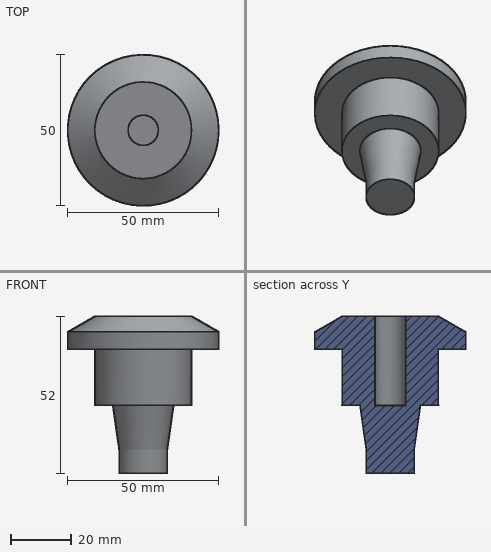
import cadquery as cq

total_height = 52.0

flange_diameter = 50.0
hub_diameter = 32.0
taper_top_diameter = 20.2
tip_diameter = 16.0
bore_diameter = 10.0

tip_height = 7.9
taper_height = 14.6
hub_height = 18.5
bevel_height = 5.2

hub_bottom = tip_height + taper_height
flange_bottom = hub_bottom + hub_height
bevel_bottom = total_height - bevel_height

bore_depth = total_height - hub_bottom

body = (
    cq.Workplane("XZ")
    .moveTo(0, 0)
    .lineTo(tip_diameter / 2, 0)
    .lineTo(tip_diameter / 2, tip_height)
    .lineTo(taper_top_diameter / 2, hub_bottom)
    .lineTo(hub_diameter / 2, hub_bottom)
    .lineTo(hub_diameter / 2, flange_bottom)
    .lineTo(flange_diameter / 2, flange_bottom)
    .lineTo(flange_diameter / 2, bevel_bottom)
    .lineTo(hub_diameter / 2, total_height)
    .lineTo(0, total_height)
    .close()
    .revolve(360, (0, 0, 0), (0, 1, 0))
)

bore = (
    cq.Workplane("XY", origin=(0, 0, total_height))
    .circle(bore_diameter / 2)
    .extrude(-bore_depth)
)

result = body.cut(bore)